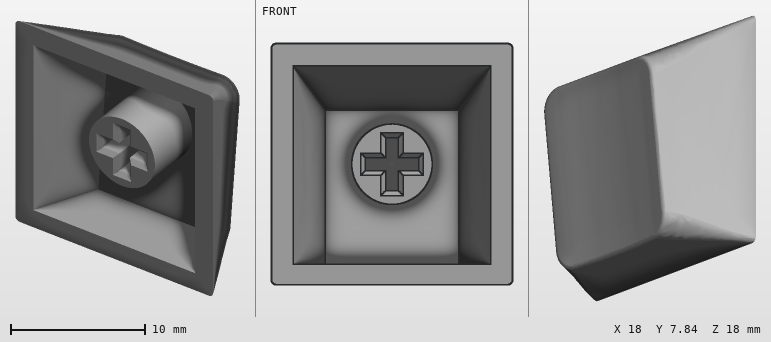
import cadquery as cq
import math


base_size = 18.0
base_corner_radius = 0.4
crown_width = 12.0
crown_corner_radius = 1.7
crown_bottom_y = 6.42
crown_top_y = 8.0
crown_top_z = 4.87
body_section_count = 6

dish_chord = 12.2
dish_depth = 0.44
crown_edge_radius = 0.3

cavity_width = 14.74
cavity_top_z = 7.33
cavity_bottom_z = -7.46
floor_width = 9.97
floor_top_z = 4.02
floor_top_y = 6.25
floor_bottom_y = 5.04

stem_diameter = 6.0
stem_face_y = 1.0
cross_length = 3.97
cross_arm_width = 0.96
cross_depth = 4.0
cross_chamfer = 0.35

base_bottom_z = -base_size / 2
base_top_z = base_size / 2


def mix(start, end, fraction):
    return start + (end - start) * fraction


def tilted_plane(y_bottom, z_bottom, y_top, z_top):
    """Plane facing +Y, centred between a bottom and a top edge that run along X."""
    return cq.Plane(
        origin=(0, (y_bottom + y_top) / 2, (z_bottom + z_top) / 2),
        xDir=(-1, 0, 0),
        normal=(0, z_top - z_bottom, y_bottom - y_top),
    )


def crown_plane():
    return tilted_plane(crown_bottom_y, base_bottom_z, crown_top_y, crown_top_z)


def body_section(fraction):
    """Rounded outline of the body, from the opening (0) to the crown (1)."""
    y_bottom = crown_bottom_y * fraction
    y_top = crown_top_y * fraction
    z_top = mix(base_top_z, crown_top_z, fraction)
    width = mix(base_size, crown_width, fraction)
    height = math.hypot(z_top - base_bottom_z, y_top - y_bottom)
    eased = fraction**2 * (3 - 2 * fraction)
    radius = mix(base_corner_radius, crown_corner_radius, eased)
    outline = cq.Sketch().rect(width, height).vertices().fillet(radius)
    plane = tilted_plane(y_bottom, base_bottom_z, y_top, z_top)
    return outline.moved(cq.Location(plane))


def make_body():
    last = body_section_count - 1
    sections = [body_section(index / last) for index in range(body_section_count)]
    return cq.Workplane("XY").placeSketch(*sections).loft()


def make_dish():
    """Cylinder lying along the crown slope that hollows the crown across X."""
    radius = (dish_chord**2 / 4 + dish_depth**2) / (2 * dish_depth)
    plane = crown_plane()
    axis = cq.Plane(origin=plane.origin, xDir=plane.xDir, normal=plane.yDir)
    profile = cq.Workplane(axis).center(0, dish_depth - radius).circle(radius)
    return profile.extrude(base_size, both=True)


def make_cavity():
    opening_height = cavity_top_z - cavity_bottom_z
    opening_plane = tilted_plane(0, cavity_bottom_z, 0, cavity_top_z)
    opening = cq.Sketch().rect(cavity_width, opening_height)
    floor_height = math.hypot(floor_top_z - cavity_bottom_z, floor_top_y - floor_bottom_y)
    floor_plane = tilted_plane(floor_bottom_y, cavity_bottom_z, floor_top_y, floor_top_z)
    floor = cq.Sketch().rect(floor_width, floor_height)
    sections = [opening.moved(cq.Location(opening_plane)), floor.moved(cq.Location(floor_plane))]
    return cq.Workplane("XY").placeSketch(*sections).loft(ruled=True)


def stem_plane():
    return cq.Workplane(cq.Plane(origin=(0, stem_face_y, 0), xDir=(-1, 0, 0), normal=(0, 1, 0)))


def make_stem():
    """Round post sunk into the crown wall, with a cross socket chamfered at its mouth."""
    stem = stem_plane().circle(stem_diameter / 2).extrude(floor_top_y - stem_face_y)
    cross = stem_plane().rect(cross_length, cross_arm_width).extrude(cross_depth)
    cross = cross.union(stem_plane().rect(cross_arm_width, cross_length).extrude(cross_depth))
    return stem.cut(cross).faces("<Y").edges("%LINE").chamfer(cross_chamfer)


def make_shell():
    """Dished body with a rounded crown edge, hollowed by the cavity."""
    dished = make_body().cut(make_dish())
    crown_face = dished.faces("%CYLINDER")
    return crown_face.edges().fillet(crown_edge_radius).cut(make_cavity())


result = make_shell().union(make_stem())